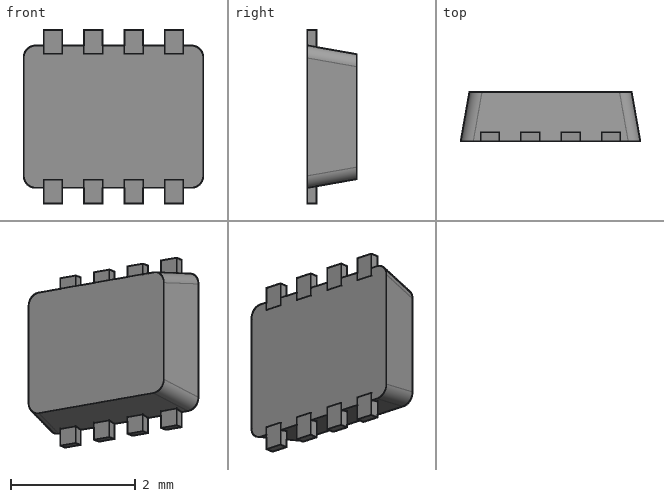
import cadquery as cq
import math

housing_width = 2.9
housing_height = 2.3
housing_depth = 0.8
corner_radius = 0.2
draft_angle = 10.0

lead_span = 2.8
lead_width = 0.302
lead_length = 0.383
lead_thickness = 0.15
lead_pitch = 0.65
leads_per_row = 4

mounting_face_y = -housing_depth / 2


def rounded_rectangle(width, height):
    return cq.Sketch().rect(width, height).vertices().fillet(corner_radius)


def make_lead(x, side):
    """A straight lead at x, in the upper (side=1) or lower (side=-1) row."""
    z = side * (lead_span - lead_length) / 2
    y = mounting_face_y + lead_thickness / 2
    return cq.Workplane("XY").box(lead_width, lead_thickness, lead_length).translate((x, y, z))


def make_leads():
    row_start = -lead_pitch * (leads_per_row - 1) / 2
    leads = []
    for side in (1, -1):
        for index in range(leads_per_row):
            leads.append(make_lead(row_start + index * lead_pitch, side))
    return leads


def make_housing(leads):
    """The tapered block, with a matching recess for each lead."""
    inset = housing_depth * math.tan(math.radians(draft_angle))
    mounting_face = rounded_rectangle(housing_width, housing_height)
    back_face = rounded_rectangle(housing_width - 2 * inset, housing_height - 2 * inset)
    housing = (
        cq.Workplane("XZ", origin=(0, mounting_face_y, 0))
        .placeSketch(mounting_face, back_face.moved(cq.Location(cq.Vector(0, 0, -housing_depth))))
        .loft(ruled=True)
    )
    for lead in leads:
        housing = housing.cut(lead)
    return housing.solids()


leads = make_leads()
housing = make_housing(leads)

result = cq.Compound.makeCompound([housing.val(), *[lead.val() for lead in leads]])